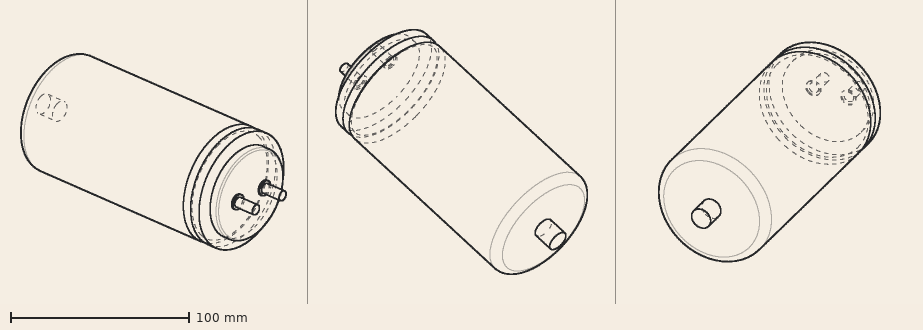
import cadquery as cq
import math

TOTAL_LENGTH = 172.0
CAN_START = 12.5
GROOVE_CENTER = 141.7
RIM_END = 150.8
CONE_END = 152.4
COVER_END = 157.7
COLLAR_END = 158.8

CAN_RADIUS = 35.3
CAN_FILLET = 5.0
GROOVE_RADIUS = 2.8
COVER_RADIUS = 27.7
COVER_FILLET = 1.0

FILLET_INSET = 1 - math.cos(math.radians(45))

STUD_DIAMETER = 12.0
PIN_DIAMETER = 6.0
COLLAR_DIAMETER = 9.1
PIN_SPACING = 22.2


def rod(start, end, diameter, y=0.0):
    """Round bar parallel to X between two stations, at height Z = 0."""
    return (
        cq.Workplane("YZ", origin=(start, y, 0))
        .circle(diameter / 2)
        .extrude(end - start)
    )


def can_with_cover():
    """Can with a crimp groove, a tapered rim and a stepped cover, revolved about X."""
    fillet_middle = CAN_FILLET * FILLET_INSET
    cover_middle = COVER_FILLET * FILLET_INSET
    profile = (
        cq.Workplane("XY")
        .moveTo(CAN_START, 0)
        .lineTo(CAN_START, CAN_RADIUS - CAN_FILLET)
        .threePointArc(
            (CAN_START + fillet_middle, CAN_RADIUS - fillet_middle),
            (CAN_START + CAN_FILLET, CAN_RADIUS),
        )
        .lineTo(GROOVE_CENTER - GROOVE_RADIUS, CAN_RADIUS)
        .threePointArc(
            (GROOVE_CENTER, CAN_RADIUS - GROOVE_RADIUS),
            (GROOVE_CENTER + GROOVE_RADIUS, CAN_RADIUS),
        )
        .lineTo(RIM_END, CAN_RADIUS)
        .lineTo(CONE_END, COVER_RADIUS)
        .lineTo(COVER_END - COVER_FILLET, COVER_RADIUS)
        .threePointArc(
            (COVER_END - cover_middle, COVER_RADIUS - cover_middle),
            (COVER_END, COVER_RADIUS - COVER_FILLET),
        )
        .lineTo(COVER_END, 0)
        .close()
    )
    return profile.revolve(360, (0, 0, 0), (1, 0, 0))


def terminal(y):
    """Terminal pin with a collar at its foot, starting on the cover face."""
    collar = rod(COVER_END, COLLAR_END, COLLAR_DIAMETER, y)
    pin = rod(COVER_END, TOTAL_LENGTH, PIN_DIAMETER, y)
    return collar.union(pin)


result = can_with_cover().union(rod(0, CAN_START, STUD_DIAMETER))
for side in (-1, 1):
    result = result.union(terminal(side * PIN_SPACING / 2))